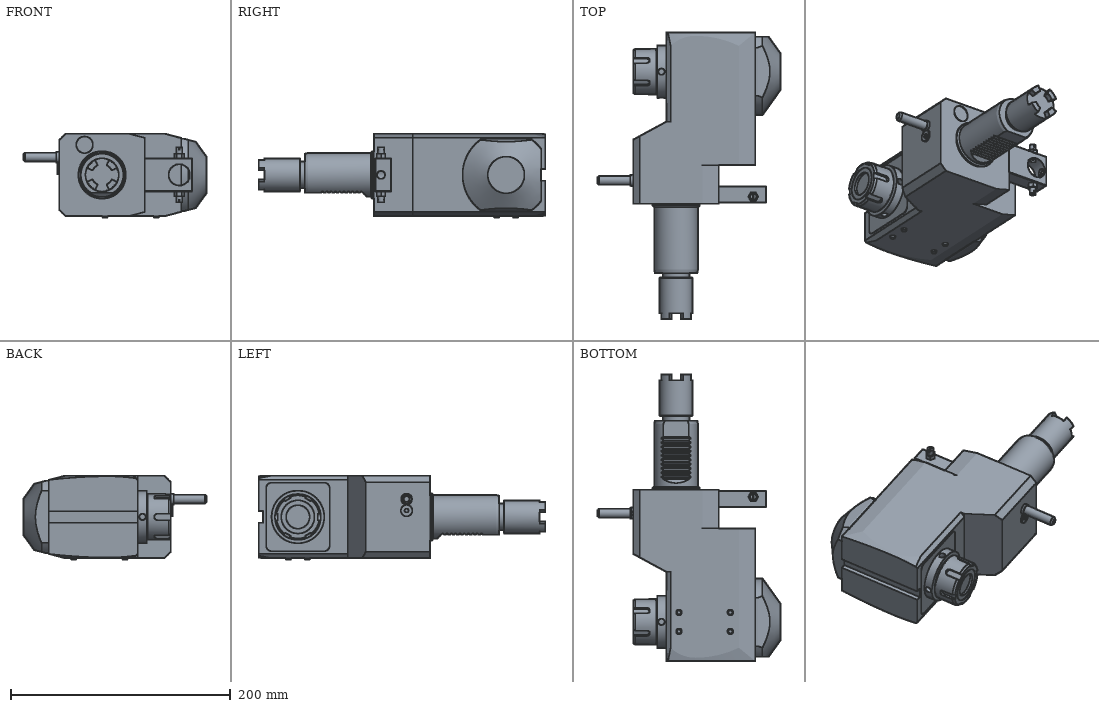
import cadquery as cq
import math


half_height = 37.5
lower_left, lower_right = -39.0, 38.9
upper_left, upper_right = -8.9, 72.0
step_y = 35.2
slant_start_y = 58.5
slant_end_y = 74.9
end_y = 156.0
left_lower_chamfer = 6.0
left_upper_chamfer = 4.0
facet_run = 14.9
facet_drop = 4.0
facet_slope = facet_drop / facet_run
crown_left = (upper_left + left_upper_chamfer, 143.7)
crown_left_middle = (2.5, 149.2)
crown_peak = (17.7, 152.9)
crown_right_middle = (upper_right - facet_run, 143.7)
crown_right = (upper_right, 134.5)
crown_slope = 0.22
key_slot_width = 10.5
key_slot_depth = 4.2

collar_radius = 21.7
collar_length = 1.3
shank_radius = 20.0
shank_end = -62.9
shank_chamfer_length, shank_chamfer_depth = 3.0, 0.8
neck_radius = 12.3
coupling_start = -66.8
coupling_radius = 15.0
coupling_chamfer = 0.8
coupling_face = -99.6
overall_length = 260.8
tip_y = end_y - overall_length
tang_count = 4
tang_inner_radius = 9.7
tang_half_angle = 20
rack_z = -16.5
rack_start = -9.7
tooth_pitch = 4.0
tooth_count = 10
tooth_depth = 1.5
first_tooth_y = -11.5

spindle_y = 120.3
plate_length, plate_height = 58.0, 62.3
plate_corner = 5.2
plate_rise = 0.3
ring_radius = 24.0
ring_face = -17.2
ring_hole_count = 4
ring_hole_x = -13.3
ring_hole_radius = 2.9
ring_hole_depth = 7.8
nut_back = -18.3
nut_face = -39.0
nut_radius = 20.9
nut_chamfer_length, nut_chamfer_depth = 2.0, 1.3
nut_groove_radius = 19.3
nut_slot_count = 6
nut_slot_width = 5.7
nut_slot_end = -24.0
nut_slot_depth = 2.5
collet_radius, collet_recess = 15.0, 0.3
bore_radius, bore_depth = 10.7, 2.5

cap_radius = 39.6
cap_rim_x = 78.5
cap_tip_x = 95.0
cap_tip_radius = 16.7
cap_flat_y = 152.0
cap_base_x = 74.3

bracket_right = 82.0
bracket_front, bracket_back = 1.0, 16.0
bracket_half_height = 15.0
bracket_chamfer = 0.5
bracket_hole_x = 70.2
bracket_hole_radius = 9.7
bracket_screw_y = 6.5
screw_hole_end = 11.7
side_hole_radius = 3.7
bracket_nut_size, bracket_nut_top = 8.9, 19.3
bracket_screw_radius, bracket_screw_top = 2.9, 25.0
screw_slot_width, screw_slot_depth = 0.8, 2.3

pin_y, pin_z = 21.5, 16.2
pin_tip_x = -71.5
pin_radius = 4.2
pin_chamfer = 1.5
pin_collar_radius, pin_collar_height = 5.0, 2.3
side_screw_z = 5.7
side_screw_radius, side_screw_height = 5.2, 1.5
side_screw_socket = 4.0
plug_x, plug_z, plug_radius = -16.0, 27.5, 7.5
plug_depth = 0.5
foot_x = (2.5, 49.3)
foot_offset_y = 8.5
foot_height = 1.5
foot_radius, foot_tip_radius = 2.5, 1.8


def block(x, y, z):
    """Box given by its (low, high) limits along each axis."""
    size = [high - low for low, high in (x, y, z)]
    return cq.Workplane("XY").box(*size, centered=False).translate((x[0], y[0], z[0]))


def prism_along_y(points, y_start, y_end):
    """Prism with the given (x, z) outline between two Y positions."""
    return cq.Workplane("XZ", origin=(0, y_start, 0)).polyline(points).close().extrude(y_start - y_end)


def cylinder_x(radius, x_start, x_end, y, z):
    return cq.Workplane("YZ", origin=(x_start, y, z)).circle(radius).extrude(x_end - x_start)


def turned_on_x(points):
    """Body turned about the spindle axis from (x, radius) points."""
    outline = [(points[0][0], 0)] + points + [(points[-1][0], 0)]
    body = cq.Workplane("XY").polyline(outline).close().revolve(360, (0, 0, 0), (1, 0, 0))
    return body.translate((0, spindle_y, 0))


def both_sides(shape):
    """The shape together with its mirror image below the XY plane."""
    return shape.union(shape.mirror("XY"))


def edge_cutter(x_edge, run, drop, y_start, y_end):
    """Cutter for chamfers on the top and bottom edges at x_edge; run is signed, into the housing."""
    slope = drop / run
    outside = x_edge - run
    points = [
        (x_edge + run, half_height),
        (outside, half_height - 2 * run * slope),
        (outside, half_height + drop),
        (x_edge + run, half_height + drop),
    ]
    return both_sides(prism_along_y(points, y_start, y_end))


def crown_cutter():
    """Cutter that leaves the curved, sloping facet at the far end of the upper block."""
    depth = 2 * facet_drop
    slope_angle = math.degrees(math.atan(1 / crown_slope))
    crown = (
        cq.Workplane("XY", origin=(0, 0, half_height))
        .moveTo(crown_left[0], step_y)
        .lineTo(*crown_left)
        .threePointArc(crown_left_middle, crown_peak)
        .threePointArc(crown_right_middle, crown_right)
        .lineTo(upper_right, step_y)
        .close()
        .extrude(-depth, taper=-slope_angle)
    )
    slab = block((upper_left, upper_right), (slant_end_y, end_y), (half_height - depth, half_height))
    return both_sides(slab.cut(crown))


def make_housing():
    z = (-half_height, half_height)
    upper = block((upper_left, upper_right), (step_y, end_y), z)
    upper = upper.cut(edge_cutter(upper_left, left_upper_chamfer, left_upper_chamfer, slant_end_y, end_y))
    upper = upper.cut(edge_cutter(upper_right, -facet_run, facet_drop, step_y, end_y))
    upper = upper.cut(crown_cutter())
    lower = block((lower_left, lower_right), (0, step_y), z)
    lower = lower.cut(edge_cutter(lower_right, -facet_run, facet_drop, 0, step_y))
    shoulder = (
        cq.Workplane("XY", origin=(0, 0, -half_height))
        .polyline([
            (lower_left, step_y),
            (lower_right, step_y),
            (lower_right, slant_end_y),
            (upper_left, slant_end_y),
            (lower_left, slant_start_y),
        ])
        .close()
        .extrude(2 * half_height)
    )
    lower = lower.union(shoulder)
    lower = lower.cut(edge_cutter(lower_left, left_lower_chamfer, left_lower_chamfer, 0, slant_end_y))
    half_slot = key_slot_width / 2
    key_slot = block((upper_left, upper_right), (end_y - key_slot_depth, end_y), (-half_slot, half_slot))
    plug = cq.Workplane("XZ", origin=(plug_x, 0, plug_z)).circle(plug_radius).extrude(-plug_depth)
    return upper.union(lower).cut(key_slot).cut(plug)


def make_shank():
    shank = (
        cq.Workplane("XY")
        .polyline([
            (0, 0),
            (collar_radius, 0),
            (collar_radius, -collar_length),
            (shank_radius, -collar_length - (collar_radius - shank_radius)),
            (shank_radius, shank_end + shank_chamfer_length),
            (shank_radius - shank_chamfer_depth, shank_end),
            (neck_radius, shank_end),
            (neck_radius, coupling_start),
            (coupling_radius - coupling_chamfer, coupling_start),
            (coupling_radius, coupling_start - coupling_chamfer),
            (coupling_radius, coupling_face),
            (0, coupling_face),
        ])
        .close()
        .revolve(360, (0, 0, 0), (0, 1, 0))
    )
    return shank.cut(rack_cutter()).union(make_tangs())


def rack_cutter():
    """Cutter for the flat under the shank and the V-shaped gaps between its teeth."""
    ramp = collar_radius + rack_z
    points = [(rack_start + ramp, -collar_radius), (rack_start, rack_z)]
    for index in range(tooth_count):
        valley = first_tooth_y - index * tooth_pitch
        points += [
            (valley + tooth_depth, rack_z),
            (valley, rack_z + tooth_depth),
            (valley - tooth_depth, rack_z),
        ]
    points += [(shank_end, rack_z), (shank_end, -collar_radius)]
    return cq.Workplane("YZ").polyline(points).close().extrude(collar_radius, both=True)


def make_tangs():
    """Four driving tangs, at the diagonals of the coupling's end face."""
    ring = (
        cq.Workplane("XZ", origin=(0, coupling_face, 0))
        .circle(coupling_radius)
        .circle(tang_inner_radius)
        .extrude(coupling_face - tip_y)
    )
    reach = 2 * coupling_radius
    half_width = reach * math.tan(math.radians(tang_half_angle))
    sectors = cq.Workplane("XY")
    for index in range(tang_count):
        wedge = prism_along_y([(0, 0), (reach, half_width), (reach, -half_width)], coupling_face, tip_y)
        sectors = sectors.union(wedge.rotate((0, 0, 0), (0, 1, 0), (index + 0.5) * 360 / tang_count))
    return ring.intersect(sectors)


def make_spindle():
    """Cover plate, ring and collet nut on the left face of the upper block."""
    plate = (
        cq.Workplane("YZ", origin=(upper_left, spindle_y, 0))
        .rect(plate_length, plate_height)
        .extrude(-plate_rise)
        .edges("|X")
        .fillet(plate_corner)
    )
    nut = turned_on_x([
        (upper_left, ring_radius),
        (ring_face, ring_radius),
        (ring_face, nut_groove_radius),
        (nut_back, nut_groove_radius),
        (nut_back, nut_radius),
        (nut_face + nut_chamfer_length, nut_radius),
        (nut_face, nut_radius - nut_chamfer_depth),
        (nut_face, collet_radius),
        (nut_face + collet_recess, collet_radius),
        (nut_face + collet_recess, bore_radius),
        (nut_face + bore_depth, bore_radius),
    ])
    axis = ((0, spindle_y, 0), (1, spindle_y, 0))
    half_width = nut_slot_width / 2
    slot_centre = nut_slot_end - half_width
    slot = (
        cq.Workplane("XY", origin=(0, spindle_y, nut_radius - nut_slot_depth))
        .moveTo(nut_face, -half_width)
        .lineTo(slot_centre, -half_width)
        .threePointArc((nut_slot_end, 0), (slot_centre, half_width))
        .lineTo(nut_face, half_width)
        .close()
        .extrude(nut_radius)
    )
    for index in range(nut_slot_count):
        nut = nut.cut(slot.rotate(*axis, (index + 0.5) * 360 / nut_slot_count))
    hole = (
        cq.Workplane("XY", origin=(ring_hole_x, spindle_y, ring_radius - ring_hole_depth))
        .circle(ring_hole_radius)
        .extrude(2 * ring_hole_depth)
    )
    for index in range(ring_hole_count):
        nut = nut.cut(hole.rotate(*axis, index * 360 / ring_hole_count))
    return plate.union(nut)


def make_cap():
    """Conical cap on the right face, trimmed by the continued housing facets and an end flat."""
    cap = turned_on_x([
        (upper_right, cap_radius),
        (cap_rim_x, cap_radius),
        (cap_tip_x, cap_tip_radius),
    ])

    def facet_z(x):
        return half_height - facet_drop - (x - upper_right) * facet_slope

    top = [
        (upper_right, facet_z(cap_base_x)),
        (cap_base_x, facet_z(cap_base_x)),
        (cap_tip_x, facet_z(cap_tip_x)),
    ]
    bottom = [(x, -z) for x, z in reversed(top)]
    return cap.intersect(prism_along_y(top + bottom, spindle_y - cap_radius, cap_flat_y))


def make_bracket():
    """Arm beside the shank, with a through hole and two clamping screws."""
    z = (-bracket_half_height, bracket_half_height)
    arm = block((lower_right, bracket_right), (bracket_front, bracket_back), z)
    arm = arm.edges("not <X").chamfer(bracket_chamfer)
    hole = (
        cq.Workplane("XZ", origin=(bracket_hole_x, bracket_front, 0))
        .circle(bracket_hole_radius)
        .extrude(bracket_front - bracket_back)
    )
    side_hole = cylinder_x(side_hole_radius, bracket_hole_x, bracket_right, bracket_screw_y, 0)
    screw_hole = (
        cq.Workplane("XY", origin=(bracket_hole_x, bracket_screw_y, 0))
        .circle(bracket_screw_radius)
        .extrude(screw_hole_end, both=True)
    )
    seat = cq.Workplane("XY", origin=(bracket_hole_x, bracket_screw_y, bracket_half_height))
    nut = seat.polygon(6, bracket_nut_size).extrude(bracket_nut_top - bracket_half_height)
    screw = seat.circle(bracket_screw_radius).extrude(bracket_screw_top - bracket_half_height)
    slot = (
        cq.Workplane("XY", origin=(bracket_hole_x, bracket_screw_y, bracket_screw_top - screw_slot_depth))
        .rect(screw_slot_width, 2 * bracket_screw_radius)
        .extrude(screw_slot_depth)
    )
    return arm.cut(hole).cut(side_hole).cut(screw_hole).union(both_sides(nut.union(screw).cut(slot)))


def make_side_pins():
    """Locating pin and socket screw on the left face of the lower block."""
    pin = cylinder_x(pin_radius, lower_left, pin_tip_x, pin_y, pin_z).faces("<X").chamfer(pin_chamfer)
    collar = cylinder_x(pin_collar_radius, lower_left, lower_left - pin_collar_height, pin_y, pin_z)
    head = cylinder_x(side_screw_radius, lower_left, lower_left - side_screw_height, pin_y, side_screw_z)
    socket = (
        cq.Workplane("YZ", origin=(lower_left, pin_y, side_screw_z))
        .polygon(6, side_screw_socket)
        .extrude(-side_screw_height)
    )
    return head.cut(socket).union(collar).union(pin)


def make_feet():
    """Four small tapered studs under the housing."""
    foot = (
        cq.Workplane("XY", origin=(0, 0, -half_height))
        .circle(foot_radius)
        .workplane(offset=-foot_height)
        .circle(foot_tip_radius)
        .loft()
    )
    feet = cq.Workplane("XY")
    for x in foot_x:
        for side in (-1, 1):
            feet = feet.union(foot.translate((x, spindle_y + side * foot_offset_y, 0)))
    return feet


result = make_housing()
for part in (make_shank(), make_spindle(), make_cap(), make_bracket(), make_side_pins(), make_feet()):
    result = result.union(part)